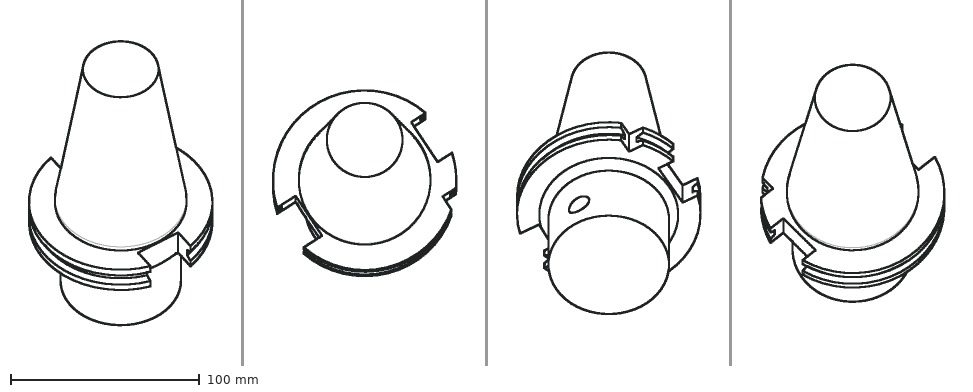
import cadquery as cq
import math

total_height = 166.8
neck_bottom = 41.4
flange_bottom = 46.2
flange_height = 16.0
collar_height = 2.8
flange_top = flange_bottom + flange_height
taper_bottom = flange_top + collar_height

shank_diameter = 64.0
flange_diameter = 97.4
collar_diameter = 69.9
taper_top_diameter = 40.2

groove_depth = 3.0
groove_floor_width = 3.8
groove_wall_angle = 30.0
groove_center = flange_bottom + 7.8

slot_width = 25.7
left_slot_floor = 37.9
right_slot_floor = 35.4

notch_x = -29.8
notch_y = 30.0

screw_hole_diameter = 12.3
screw_hole_depth = 14.0
screw_hole_height = 16.5


def turned_body():
    shank_radius = shank_diameter / 2
    flange_radius = flange_diameter / 2
    collar_radius = collar_diameter / 2
    neck_radius = shank_radius + flange_bottom - neck_bottom
    groove_radius = flange_radius - groove_depth
    floor_half = groove_floor_width / 2
    mouth_half = floor_half + groove_depth * math.tan(math.radians(groove_wall_angle))
    profile = [
        (0, 0),
        (shank_radius, 0),
        (shank_radius, neck_bottom),
        (neck_radius, flange_bottom),
        (flange_radius, flange_bottom),
        (flange_radius, groove_center - mouth_half),
        (groove_radius, groove_center - floor_half),
        (groove_radius, groove_center + floor_half),
        (flange_radius, groove_center + mouth_half),
        (flange_radius, flange_top),
        (collar_radius, flange_top),
        (collar_radius, taper_bottom),
        (taper_top_diameter / 2, total_height),
        (0, total_height),
    ]
    return cq.Workplane("XZ").polyline(profile).close().revolve(360, (0, 0), (0, 1))


def flange_cutter(inner_corner, outer_corner):
    """Block between two XY corners, from the bottom of the neck to the top of the flange."""
    return (
        cq.Workplane("XY", origin=(0, 0, neck_bottom))
        .moveTo(*inner_corner)
        .lineTo(outer_corner[0], inner_corner[1])
        .lineTo(*outer_corner)
        .lineTo(inner_corner[0], outer_corner[1])
        .close()
        .extrude(flange_top - neck_bottom)
    )


def drive_slot(side, floor_distance):
    half_width = slot_width / 2
    return flange_cutter((side * floor_distance, -half_width), (side * flange_diameter, half_width))


def orientation_notch():
    return flange_cutter((notch_x, notch_y), (-flange_diameter, flange_diameter))


def screw_hole():
    floor_y = shank_diameter / 2 - screw_hole_depth
    return (
        cq.Workplane("XZ", origin=(0, floor_y, screw_hole_height))
        .circle(screw_hole_diameter / 2)
        .extrude(-shank_diameter)
    )


result = (
    turned_body()
    .cut(drive_slot(-1, left_slot_floor))
    .cut(drive_slot(1, right_slot_floor))
    .cut(orientation_notch())
    .cut(screw_hole())
)